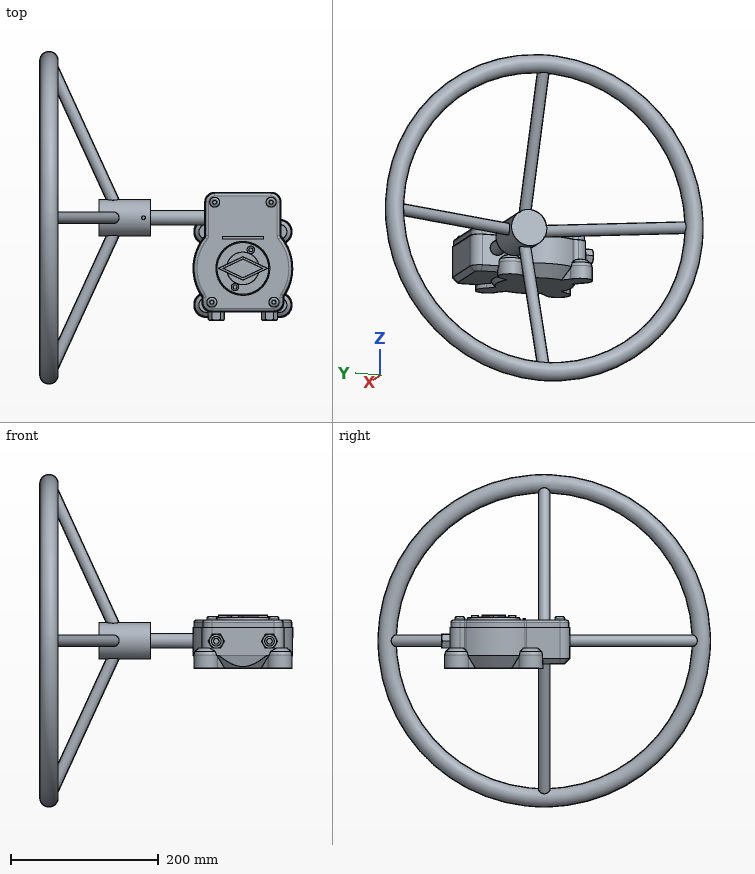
import cadquery as cq
import math


wheel_diameter = 450.0
rim_radius = 12.5
rim_circle_radius = wheel_diameter / 2 - rim_radius
spoke_diameter = 16.0
spoke_count = 4
spoke_root_x = 97.5
hub_diameter = 50.0
hub_start_x = 67.5
hub_length = 70.0
grub_hole_diameter = 5.0
grub_hole_depth = 6.0
grub_hole_x = 128.0
shaft_diameter = 20.0

overall_length = 342.43
body_radius = 67.5
stem_x = overall_length - rim_radius - body_radius
stem_y = -68.5
corner_radius = 13.5
neck_radius = 3.0
lid_inset = 1.3

base_z = -37.3
shelf_z = -20.0
split_z = 18.2
lid_top_z = 28.4
lid_edge_radius = 4.0

rear_screw_half_spacing = 38.2
rear_screw_y = 21.0
front_screw_half_spacing = 42.0
front_screw_y = -114.3
lid_screw_diameter = 13.5
lid_screw_height = 4.5
lid_screw_dome_radius = 3.0
lid_screw_socket_size = 5.0
lid_screw_socket_depth = 2.5

base_cone_bottom_radius = 53.0
front_slope_setback = 5.0
foot_circle_diameter = 140.0
foot_count = 4
first_foot_angle = 45.0
foot_radius = 17.0
foot_web_width = 32.0
foot_side_top_z = -19.5
foot_shoulder_z = -14.5
foot_shoulder_radius = 15.5
foot_cap_z = -9.5
foot_cap_radius = 10.0
housing_bottom_z = -31.3
housing_chamfer = 7.0
housing_front_y = -20.0

stop_half_spacing = 36.0
stop_z = -0.6
stop_length = 11.0
stop_nut_flats = 19.0
stop_nut_chamfer = 1.5
stop_screw_diameter = 13.0
stop_screw_recess = 1.0
stop_socket_size = 7.0
stop_socket_depth = 5.0

dial_bottom_radius = 36.5
dial_top_radius = 35.0
dial_top_z = 31.2
dial_step_radius = 22.0
dial_step_z = 32.2
pointer_half_length = 33.3
pointer_half_width = 15.8
pointer_top_z = 34.6
pointer_recess_depth = 1.0
pointer_inner_scale = 0.8
dial_screw_circle_radius = 27.3
dial_screw_angle = 67.0
dial_screw_diameter = 10.0
dial_screw_top_z = 34.4
dial_screw_socket_size = 5.0
dial_screw_socket_depth = 2.0
bar_length = 55.5
bar_width = 3.7
bar_y = -27.0
bar_height = 1.5

hex_corner_ratio = 2 / math.sqrt(3)


def plan_at(z):
    """Horizontal workplane at height z, centred on the stem axis."""
    return cq.Workplane("XY", origin=(stem_x, stem_y, z))


def cylinder_along(start, direction, length, radius):
    return cq.Workplane(cq.Solid.makeCylinder(radius, length, start, direction))


def hexagon_prism(plane, flats, depth):
    return cq.Workplane(plane).polygon(6, flats * hex_corner_ratio).extrude(depth)


def make_spoke(angle):
    start = cq.Vector(0, rim_circle_radius * math.cos(angle), rim_circle_radius * math.sin(angle))
    path = cq.Vector(spoke_root_x, 0, 0) - start
    return cylinder_along(start, path, path.Length, spoke_diameter / 2)


def make_rim():
    """Full ring whose seam is turned midway between two spokes."""
    section = cq.Workplane("XY").center(0, rim_circle_radius).circle(rim_radius)
    rim = section.revolve(360, (0, -rim_circle_radius, 0), (1, -rim_circle_radius, 0))
    return rim.rotate((0, 0, 0), (1, 0, 0), 180 / spoke_count)


def make_wheel_centre():
    """Hub with its grub screw hole, the slanted spokes and the input shaft."""
    axis = cq.Vector(1, 0, 0)
    hub_start = cq.Vector(hub_start_x, 0, 0)
    centre = cylinder_along(hub_start, axis, hub_length, hub_diameter / 2)
    for index in range(spoke_count):
        centre = centre.union(make_spoke(index * 2 * math.pi / spoke_count))
    grub_hole_top = cq.Vector(grub_hole_x, 0, hub_diameter / 2)
    grub_hole = cylinder_along(grub_hole_top, cq.Vector(0, 0, -1), grub_hole_depth, grub_hole_diameter / 2)
    shaft_length = stem_x - hub_start_x
    shaft = cylinder_along(hub_start, axis, shaft_length, shaft_diameter / 2)
    return centre.cut(grub_hole).union(shaft)


def housing_plate(bottom_z, height, inset):
    """Gearbox plan shape: a round centre running into a rear and a front rectangle."""
    radius = body_radius - inset
    corner = corner_radius - inset
    rear_half = rear_screw_half_spacing + corner
    front_half = front_screw_half_spacing + corner
    rear_reach = rear_screw_y - stem_y + corner
    front_reach = stem_y - front_screw_y + corner
    rear_neck = math.sqrt(radius**2 - rear_half**2)
    front_neck = math.sqrt(radius**2 - front_half**2)
    plate = (
        plan_at(bottom_z)
        .moveTo(-front_half, -front_reach)
        .lineTo(front_half, -front_reach)
        .lineTo(front_half, -front_neck)
        .threePointArc((radius, 0), (rear_half, rear_neck))
        .lineTo(rear_half, rear_reach)
        .lineTo(-rear_half, rear_reach)
        .lineTo(-rear_half, rear_neck)
        .threePointArc((-radius, 0), (-front_half, -front_neck))
        .close()
        .extrude(height)
    )
    neck_height = bottom_z + height / 2
    for half, neck in ((rear_half, rear_neck), (front_half, -front_neck)):
        for side in (-1, 1):
            neck_point = (stem_x + side * half, stem_y + neck, neck_height)
            plate = plate.edges(cq.NearestToPointSelector(neck_point)).fillet(neck_radius + inset)
    plate = plate.edges("|Z and >Y").fillet(corner)
    return plate.edges("|Z and <Y").fillet(corner)


def make_worm_housing():
    """Deeper block under the rear of the body, with its lower rear edge bevelled."""
    rear_y = rear_screw_y + corner_radius
    width = 2 * (rear_screw_half_spacing + corner_radius)
    depth = rear_y - housing_front_y
    centre_y = (rear_y + housing_front_y) / 2
    block = cq.Workplane("XY", origin=(stem_x, centre_y, housing_bottom_z))
    block = block.rect(width, depth).extrude(split_z - housing_bottom_z)
    block = block.edges("|Z and >Y").fillet(corner_radius)
    return block.faces("<Z").edges(">Y").chamfer(housing_chamfer)


def make_base_cone():
    """Base narrowing downward, with its front side sloping inward from the front wall."""
    cone = (
        plan_at(base_z).circle(base_cone_bottom_radius)
        .workplane(offset=shelf_z - base_z).circle(body_radius).loft(ruled=True)
    )
    wall_y = front_screw_y - corner_radius
    back_y = stem_y + body_radius
    side_profile = [
        (wall_y, shelf_z),
        (back_y, shelf_z),
        (back_y, base_z),
        (wall_y + front_slope_setback, base_z),
    ]
    keep = cq.Workplane("YZ", origin=(stem_x, 0, 0)).polyline(side_profile).close()
    return cone.intersect(keep.extrude(body_radius, both=True))


def make_foot(angle):
    """Round foot with a sloping top, carried by a web running out from the stem axis."""
    distance = foot_circle_diameter / 2
    web = plan_at(base_z).center(distance / 2, 0).rect(distance, foot_web_width)
    web = web.extrude(shelf_z - base_z)
    half_section = [
        (0, base_z),
        (foot_radius, base_z),
        (foot_radius, foot_side_top_z),
        (foot_shoulder_radius, foot_shoulder_z),
        (foot_cap_radius, foot_cap_z),
        (0, foot_cap_z),
    ]
    foot = cq.Workplane("XZ", origin=(stem_x + distance, stem_y, 0)).polyline(half_section).close()
    foot = foot.revolve(360, (0, 0), (0, 1)).union(web)
    return foot.rotate((stem_x, stem_y, 0), (stem_x, stem_y, 1), angle)


def make_lid_screw(x, y):
    head = cq.Workplane("XY", origin=(x, y, lid_top_z)).circle(lid_screw_diameter / 2)
    head = head.extrude(lid_screw_height).faces(">Z").edges().fillet(lid_screw_dome_radius)
    socket_plane = cq.Plane((x, y, lid_top_z + lid_screw_height))
    return head.cut(hexagon_prism(socket_plane, lid_screw_socket_size, -lid_screw_socket_depth))


def make_stop_screw(x):
    """Lock nut on the front wall around a slightly recessed socket screw."""
    wall_y = front_screw_y - corner_radius
    nut_plane = cq.Plane((x, wall_y, stop_z), xDir=(1, 0, 0), normal=(0, -1, 0))
    nut = hexagon_prism(nut_plane, stop_nut_flats, stop_length)
    corner_cone = cq.Workplane(nut_plane).circle(stop_nut_flats * hex_corner_ratio / 2)
    corner_cone = corner_cone.extrude(stop_length).faces("<Y").edges().chamfer(stop_nut_chamfer)
    nut = nut.intersect(corner_cone)
    end_plane = cq.Plane((x, wall_y - stop_length, stop_z), xDir=(1, 0, 0), normal=(0, -1, 0))
    recess = cq.Workplane(end_plane).circle(stop_screw_diameter / 2).extrude(-stop_screw_recess)
    return nut.cut(recess).cut(hexagon_prism(end_plane, stop_socket_size, -stop_socket_depth))


def diamond(z, scale, height):
    length = pointer_half_length * scale
    width = pointer_half_width * scale
    corners = [(length, 0), (0, width), (-length, 0), (0, -width)]
    return plan_at(z).polyline(corners).close().extrude(height)


def make_dial_screw(angle):
    x = stem_x + dial_screw_circle_radius * math.cos(angle)
    y = stem_y + dial_screw_circle_radius * math.sin(angle)
    head = cq.Workplane("XY", origin=(x, y, lid_top_z)).circle(dial_screw_diameter / 2)
    head = head.extrude(dial_screw_top_z - lid_top_z)
    socket_plane = cq.Plane((x, y, dial_screw_top_z))
    return head.cut(hexagon_prism(socket_plane, dial_screw_socket_size, -dial_screw_socket_depth))


def make_indicator():
    """Dial with a stepped centre, a recessed diamond pointer and two screws."""
    dial = (
        plan_at(lid_top_z).circle(dial_bottom_radius)
        .workplane(offset=dial_top_z - lid_top_z).circle(dial_top_radius).loft(ruled=True)
    )
    dial = dial.union(plan_at(lid_top_z).circle(dial_step_radius).extrude(dial_step_z - lid_top_z))
    dial = dial.union(diamond(lid_top_z, 1.0, pointer_top_z - lid_top_z))
    dial = dial.cut(diamond(pointer_top_z, pointer_inner_scale, -pointer_recess_depth))
    for half_turn in (0, math.pi):
        dial = dial.union(make_dial_screw(math.radians(dial_screw_angle) + half_turn))
    return dial


def make_gearbox():
    box = housing_plate(shelf_z, split_z - shelf_z, 0)
    lid = housing_plate(split_z, lid_top_z - split_z, lid_inset)
    box = box.union(lid.faces(">Z").edges().fillet(lid_edge_radius))
    box = box.union(make_worm_housing()).union(make_base_cone())
    for index in range(foot_count):
        box = box.union(make_foot(first_foot_angle + index * 360 / foot_count))
    for side in (-1, 1):
        box = box.union(make_lid_screw(stem_x + side * rear_screw_half_spacing, rear_screw_y))
        box = box.union(make_lid_screw(stem_x + side * front_screw_half_spacing, front_screw_y))
        box = box.union(make_stop_screw(stem_x + side * stop_half_spacing))
    bar = cq.Workplane("XY", origin=(stem_x, bar_y, lid_top_z)).rect(bar_length, bar_width)
    return box.union(bar.extrude(bar_height)).union(make_indicator())


result = make_wheel_centre().union(make_gearbox()).union(make_rim(), clean=False)